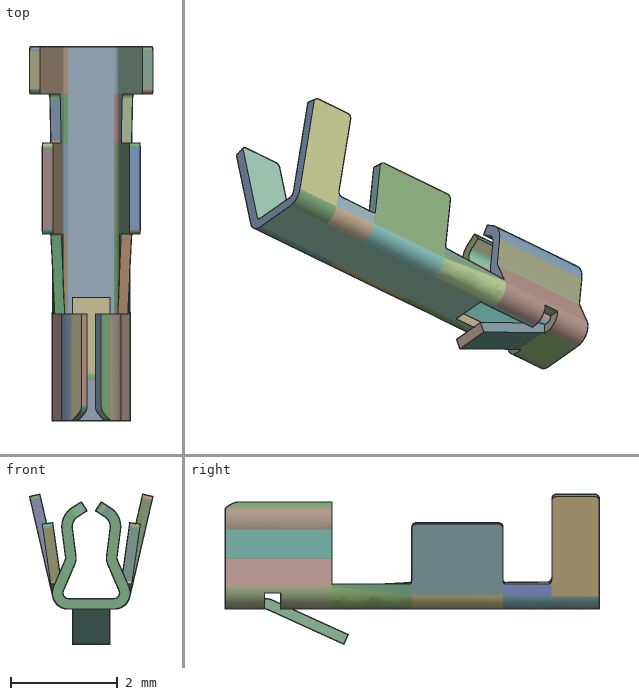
import cadquery as cq
from math import cos, radians, sin

THICKNESS = 0.2
INNER_RADIUS = 0.1
FLOOR_HALF_WIDTH = 0.43

CONTACT_END = 2.0
WIRE_START, WIRE_END = 3.49, 5.2
INSULATION_START, LENGTH = 6.11, 7.0

CONTACT_BEND = 113.3
CONTACT_LOWER_WALL = 0.56
WAIST_BEND = -30.6
WAIST_INNER_RADIUS = 0.04
CONTACT_UPPER_WALL = 0.54
SHOULDER_BEND = 64.3
SHOULDER_INNER_RADIUS = 0.22
LIP_LENGTH = 0.21
LIP_CORNER = 0.28
LIP_ROUNDING = 0.2
LIP_CHAMFER_ANGLE = 45

WIRE_BEND, WIRE_EAR_LENGTH = 81.9, 1.347
INSULATION_BEND, INSULATION_EAR_LENGTH = 77.0, 1.925
EAR_CORNER_RADIUS = 0.09
WIRE_FOOT_RADIUS = 0.04
INSULATION_FOOT_RADIUS = 0.09
FOOT_HEIGHT_LIMIT = 0.6
CHANNEL_WALL_AT_CONTACT = 0.06
CHANNEL_WALL_AT_WIRE = 0.22
CHANNEL_WALL_AT_INSULATION = 0.24

LANCE_WIDTH = 0.7
LANCE_ROOT = 0.02
LANCE_ANGLE = 24.5
LANCE_LENGTH = 1.56
WINDOW_START, WINDOW_LENGTH = 0.74, 0.3
WINDOW_HEIGHT = 0.3
RELIEF_WIDTH = 4 * FLOOR_HALF_WIDTH

TOLERANCE = 1e-3


def strip_sides(steps):
    """Trace a bent strip that starts at (0, 0) heading along +X.

    Steps are ("line", length) or ("bend", angle, inner radius), where a
    positive angle turns left. Returns the right and the left side of the strip,
    each a list of (middle point or None, end point) moves after a start point.
    """
    x, z, heading = 0.0, 0.0, 0.0
    right = [(None, (0.0, 0.0))]
    left = [(None, (0.0, THICKNESS))]

    for kind, amount, *bend_radius in steps:
        if kind == "line":
            x += amount * cos(heading)
            z += amount * sin(heading)
            right.append((None, (x, z)))
            left.append((None, (x - THICKNESS * sin(heading), z + THICKNESS * cos(heading))))
            continue

        turn = radians(amount)
        right_radius = bend_radius[0] + THICKNESS if turn > 0 else -bend_radius[0]
        left_radius = right_radius - THICKNESS
        centre_x = x - right_radius * sin(heading)
        centre_z = z + right_radius * cos(heading)
        for side, radius in ((right, right_radius), (left, left_radius)):
            middle, end = [
                (centre_x + radius * sin(angle), centre_z - radius * cos(angle))
                for angle in (heading + turn / 2, heading + turn)
            ]
            side.append((middle, end))
        heading += turn
        x, z = right[-1][1]
    return right, left


def draw_moves(sketch, moves):
    for middle, end in moves:
        if middle is None:
            sketch = sketch.lineTo(*end)
        else:
            sketch = sketch.threePointArc(middle, end)
    return sketch


def reverse_side(side):
    """The same side walked from its end back to its start."""
    return [(side[i + 1][0], side[i][1]) for i in reversed(range(len(side) - 1))]


def mirror_side(side):
    return [(middle and (-middle[0], middle[1]), (-end[0], end[1])) for middle, end in side]


def draw_channel(sketch, steps):
    """Closed section, symmetric about X = 0, whose right half follows the steps."""
    outer, inner = strip_sides(steps)
    left_outer, left_inner = mirror_side(outer), mirror_side(inner)
    sketch = sketch.moveTo(*left_outer[-1][1])
    sketch = draw_moves(sketch, reverse_side(left_outer)[:-1])
    sketch = draw_moves(sketch, outer[1:])
    sketch = sketch.lineTo(*inner[-1][1])
    sketch = draw_moves(sketch, reverse_side(inner)[:-1])
    sketch = draw_moves(sketch, left_inner[1:])
    return sketch.close()


def section_plane(y):
    """XZ plane at the given Y; its normal is -Y, so negative lengths run to +Y."""
    return cq.Workplane("XZ", origin=(0, y, 0))


def wall_steps(bend, wall_length):
    return [("line", FLOOR_HALF_WIDTH), ("bend", bend, INNER_RADIUS), ("line", wall_length)]


def make_lip_corner(steps):
    """Waste at the mating-end corner of the right lip: a chamfer with rounded ends."""
    _, inner = strip_sides(steps)
    lip_angle = radians(CONTACT_BEND + WAIST_BEND + SHOULDER_BEND)
    tip_x, tip_z = inner[-1][1]
    lip_plane = cq.Plane(
        origin=(tip_x, 0, tip_z),
        xDir=(-cos(lip_angle), 0, -sin(lip_angle)),
        normal=(sin(lip_angle), 0, -cos(lip_angle)),
    )
    chamfer_angle = radians(LIP_CHAMFER_ANGLE)
    middle_offset = LIP_ROUNDING * (1 - cos(chamfer_angle / 2))
    middle_run = LIP_CORNER - LIP_ROUNDING * sin(chamfer_angle / 2)
    end_offset = LIP_ROUNDING * (1 - cos(chamfer_angle))
    end_run = LIP_CORNER - LIP_ROUNDING * sin(chamfer_angle)
    return (
        cq.Workplane(lip_plane)
        .lineTo(LIP_CORNER, 0)
        .threePointArc((middle_run, middle_offset), (end_run, end_offset))
        .lineTo(end_offset, end_run)
        .threePointArc((middle_offset, middle_run), (0, LIP_CORNER))
        .close()
        .extrude(2 * THICKNESS, both=True)
    )


def make_contact():
    steps = wall_steps(CONTACT_BEND, CONTACT_LOWER_WALL) + [
        ("bend", WAIST_BEND, WAIST_INNER_RADIUS),
        ("line", CONTACT_UPPER_WALL),
        ("bend", SHOULDER_BEND, SHOULDER_INNER_RADIUS),
        ("line", LIP_LENGTH),
    ]
    contact = draw_channel(section_plane(0), steps).extrude(-CONTACT_END)

    corner = make_lip_corner(steps)
    return contact.cut(corner).cut(corner.mirror("YZ"))


def make_barrel(start, end, bend, ear_length):
    """Open crimp barrel with a pair of ears rounded at their tip corners."""
    barrel = draw_channel(section_plane(start), wall_steps(bend, ear_length)).extrude(start - end)
    tip_corners = [
        edge
        for edge in barrel.edges().vals()
        if abs(edge.Length() - THICKNESS) < TOLERANCE and edge.Center().z > ear_length / 2
    ]
    return barrel.newObject(tip_corners).fillet(EAR_CORNER_RADIUS)


def make_transition(start, start_steps, end, end_steps):
    """Low channel that blends one bend angle into the next."""
    sketch = draw_channel(section_plane(start), start_steps)
    sketch = sketch.workplane(offset=start - end)
    return draw_channel(sketch, end_steps).loft(ruled=True)


def fillet_feet(body, station, radius):
    """Round the inside corners where the ears rise from the channel walls."""
    feet = [
        edge
        for edge in body.edges().vals()
        if abs(edge.Length() - THICKNESS) < TOLERANCE
        and abs(edge.Center().y - station) < TOLERANCE
        and abs(edge.startPoint().y - edge.endPoint().y) < TOLERANCE
        and edge.Center().z < FOOT_HEIGHT_LIMIT
    ]
    return body.newObject(feet).fillet(radius)


def make_lance():
    """Tongue sloping down from the floor towards the wire end, and its reach along Y."""
    steps = [
        ("line", LANCE_ROOT),
        ("bend", -LANCE_ANGLE, INNER_RADIUS),
        ("line", LANCE_LENGTH),
    ]
    lower, upper = strip_sides(steps)
    sketch = cq.Workplane("YZ", origin=(0, WINDOW_START, 0)).moveTo(*lower[0][1])
    sketch = draw_moves(sketch, lower[1:])
    sketch = sketch.lineTo(*upper[-1][1])
    sketch = draw_moves(sketch, reverse_side(upper))
    reach = upper[-1][1][0]
    return sketch.close().extrude(LANCE_WIDTH / 2, both=True), reach


def make_box(width, y_start, length, height):
    """Box centred on X = 0 that stands on Z = 0."""
    corner_plane = cq.Workplane("XY", origin=(0, y_start, 0))
    return corner_plane.box(width, length, height, centered=(True, False, False))


contact_low = wall_steps(CONTACT_BEND, CHANNEL_WALL_AT_CONTACT)
wire_low = wall_steps(WIRE_BEND, CHANNEL_WALL_AT_WIRE)
insulation_low = wall_steps(INSULATION_BEND, CHANNEL_WALL_AT_INSULATION)

body = (
    make_contact()
    .union(make_transition(CONTACT_END, contact_low, WIRE_START, wire_low))
    .union(make_barrel(WIRE_START, WIRE_END, WIRE_BEND, WIRE_EAR_LENGTH))
    .union(make_transition(WIRE_END, wire_low, INSULATION_START, insulation_low))
    .union(make_barrel(INSULATION_START, LENGTH, INSULATION_BEND, INSULATION_EAR_LENGTH))
)
body = fillet_feet(body, INSULATION_START, INSULATION_FOOT_RADIUS)
for wire_station in (WIRE_START, WIRE_END):
    body = fillet_feet(body, wire_station, WIRE_FOOT_RADIUS)

lance, lance_reach = make_lance()
relief = make_box(RELIEF_WIDTH, WINDOW_START, WINDOW_LENGTH, WINDOW_HEIGHT)
opening = make_box(LANCE_WIDTH, WINDOW_START, lance_reach, WINDOW_HEIGHT)
result = body.cut(relief).cut(opening).union(lance)